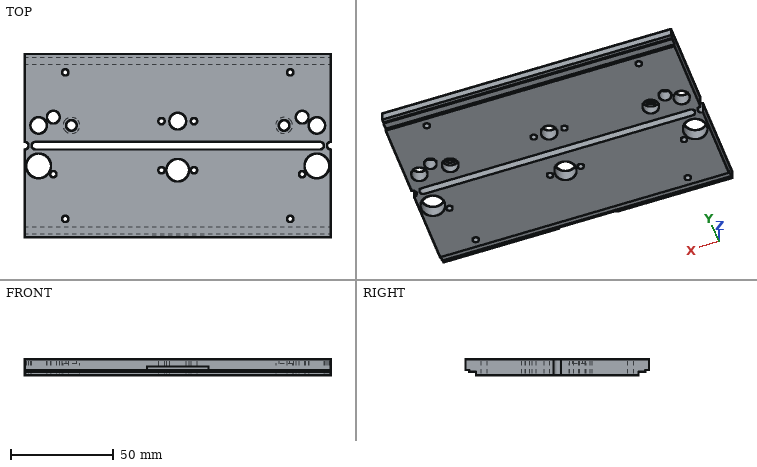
import cadquery as cq
import math

length = 150.0
width = 89.8
thickness = 8.0

outer_step_inset = 1.8
outer_step_height = 2.5
inner_step_inset = 5.1
inner_step_height = 1.6

pocket_length = 30.3
pocket_depth = 0.6
pocket_corner_radius = 1.5
pocket_top = 4.4

slot_length = 143.0
slot_width = 3.6
groove_depth = 2.0

small_diameter = 3.0
corner_hole_x = 55.0
corner_hole_y = 35.8

centre_row_y = 12.0
centre_side_x = 8.0
rear_centre_diameter = 8.1
front_centre_diameter = 11.0

end_hole_x = 68.1
end_row_y = 9.9
rear_end_diameter = 8.0
front_end_diameter = 12.0

pin_x = 60.9
pin_row_y = 14.0
rear_pin_diameter = 6.2

bolt_x = 52.0
bolt_diameter = 5.1
bolt_recess_diameter = 8.1
bolt_recess_height = 5.8


def stepped_plate():
    """Plate whose YZ section has two steps under each long edge."""
    half = width / 2
    right_side = [
        (half - inner_step_inset, 0),
        (half - inner_step_inset, inner_step_height),
        (half - outer_step_inset, inner_step_height),
        (half - outer_step_inset, outer_step_height),
        (half, outer_step_height),
        (half, thickness),
    ]
    left_side = [(-y, z) for y, z in reversed(right_side)]
    section = cq.Workplane("YZ").polyline(right_side + left_side).close()
    return section.extrude(length / 2, both=True)


def drill(diameter, points, depth=thickness):
    """Round cutters rising from the underside."""
    return cq.Workplane("XY").pushPoints(points).circle(diameter / 2).extrude(depth)


def pair(x, y):
    """A point and its mirror image about the YZ plane."""
    return [(-x, y), (x, y)]


def edge_pocket():
    """Pocket cutter whose end arcs run tangent into its floor and break out at the front edge."""
    half = pocket_length / 2
    arc_width = math.sqrt(pocket_corner_radius**2 - (pocket_corner_radius - pocket_depth) ** 2)
    front = -width / 2
    floor = front + pocket_depth
    outline = (
        cq.Workplane("XY", origin=(0, 0, outer_step_height))
        .moveTo(-half, front)
        .lineTo(half, front)
        .radiusArc((half - arc_width, floor), -pocket_corner_radius)
        .lineTo(arc_width - half, floor)
        .radiusArc((-half, front), -pocket_corner_radius)
        .close()
    )
    return outline.extrude(pocket_top - outer_step_height)


def centre_slot():
    return cq.Workplane("XY").slot2D(slot_length, slot_width).extrude(thickness)


def end_grooves():
    """Round-bottomed grooves running the full height of both short edges."""
    grooves = cq.Workplane("XY").pushPoints(pair(length / 2, 0))
    return grooves.slot2D(2 * groove_depth, slot_width).extrude(thickness)


small_points = (
    pair(corner_hole_x, corner_hole_y)
    + pair(corner_hole_x, -corner_hole_y)
    + pair(centre_side_x, centre_row_y)
    + pair(centre_side_x, -centre_row_y)
    + pair(pin_x, -pin_row_y)
)

cutters = [
    edge_pocket(),
    centre_slot(),
    end_grooves(),
    drill(small_diameter, small_points),
    drill(rear_centre_diameter, [(0, centre_row_y)]),
    drill(front_centre_diameter, [(0, -centre_row_y)]),
    drill(rear_end_diameter, pair(end_hole_x, end_row_y)),
    drill(front_end_diameter, pair(end_hole_x, -end_row_y)),
    drill(rear_pin_diameter, pair(pin_x, pin_row_y)),
    drill(bolt_diameter, pair(bolt_x, end_row_y)),
    drill(bolt_recess_diameter, pair(bolt_x, end_row_y), bolt_recess_height),
]

result = stepped_plate()
for cutter in cutters:
    result = result.cut(cutter)